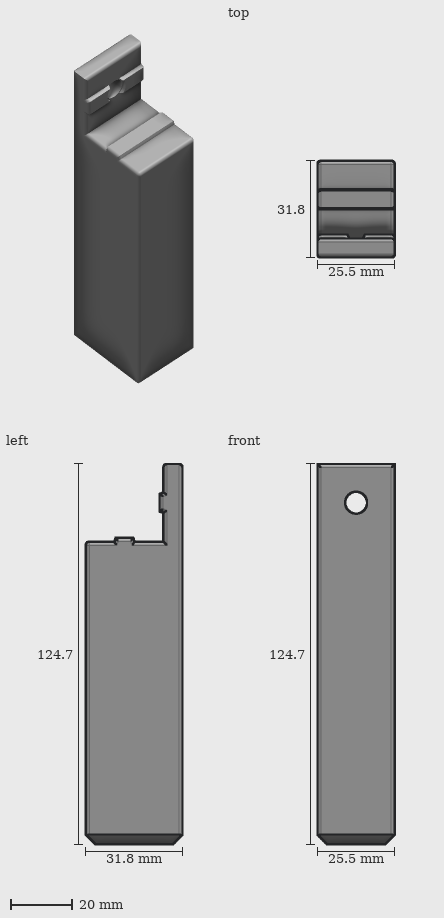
import cadquery as cq

width = 25.5
depth = 31.8
height = 124.7

plate_thickness = 6.4
ledge_depth = depth - plate_thickness
ledge_height = height - ledge_depth
edge_radius = 1.2
bottom_chamfer = 3.2

rib_foot_width = 6.7
rib_top_width = 5.7
rib_height = 1.2
hole_diameter = 7.1
rib_clearance_diameter = 8.1
hole_height = height - ledge_depth / 2
rib_center_y = plate_thickness + ledge_depth / 2
tolerance = 0.01


def side_profile():
    """L-shaped outline in the YZ plane with a tapered rib on each inner face."""
    half_foot = rib_foot_width / 2
    half_top = rib_top_width / 2
    rib_face_y = plate_thickness + rib_height
    rib_top_z = ledge_height + rib_height
    return [
        (0, 0),
        (depth, 0),
        (depth, ledge_height),
        (rib_center_y + half_foot, ledge_height),
        (rib_center_y + half_top, rib_top_z),
        (rib_center_y - half_top, rib_top_z),
        (rib_center_y - half_foot, ledge_height),
        (plate_thickness, ledge_height),
        (plate_thickness, hole_height - half_foot),
        (rib_face_y, hole_height - half_top),
        (rib_face_y, hole_height + half_top),
        (plate_thickness, hole_height + half_foot),
        (plate_thickness, height),
        (0, height),
    ]


def is_rounded(edge):
    """Select side edges except at the top and bottom, plus the three long top edges."""
    center = edge.Center()
    on_side = abs(abs(center.x) - width / 2) < tolerance
    on_end = center.z < tolerance or center.z > height - tolerance
    if on_side:
        return not on_end
    on_plate_top = center.z > height - tolerance
    on_ledge_back = center.y > depth - tolerance and center.z > tolerance
    return on_plate_top or on_ledge_back


body = (
    cq.Workplane("YZ")
    .polyline(side_profile())
    .close()
    .extrude(width / 2, both=True)
)

rounded_edges = [edge for edge in body.edges().vals() if is_rounded(edge)]
body = body.newObject(rounded_edges).fillet(edge_radius)

envelope = (
    cq.Workplane("XY")
    .box(width, depth, height, centered=(True, False, False))
    .faces("<Z")
    .edges()
    .chamfer(bottom_chamfer)
)
body = body.intersect(envelope)


def front_cylinder(diameter, start_y, end_y):
    """Cylinder along Y on the axis of the hanging hole."""
    return (
        cq.Workplane("XZ", origin=(0, start_y, hole_height))
        .circle(diameter / 2)
        .extrude(start_y - end_y)
    )


hanging_hole = front_cylinder(hole_diameter, 0, depth)
rib_clearance = front_cylinder(rib_clearance_diameter, plate_thickness, depth)

result = body.cut(hanging_hole).cut(rib_clearance)